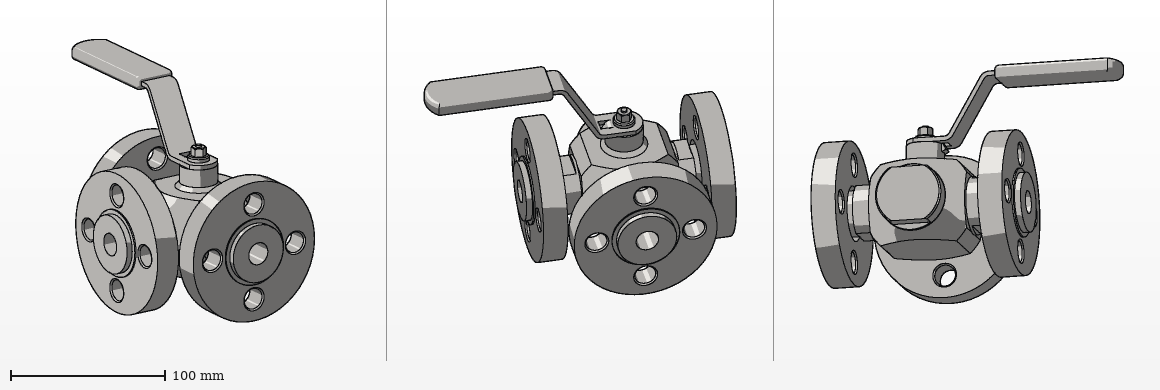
import cadquery as cq
import math


body_turned_radius = 37.3
body_half_width = 32.2
body_half_height = 27.2
body_half_depth = 32.2
body_end_radius = 22.2

bore_diameter = 15.0
hub_diameter = 38.0
hub_end = 44.0
wrench_flat_start = 34.0
hub_flat_offset = 16.02
neck_diameter = 30.0
flange_recess_diameter = 36.0
flange_recess_depth = 8.0
flange_diameter = 95.0
flange_start = 47.8
flange_thickness = 16.3
raised_face_diameter = 45.0
raised_face_height = 1.0
spigot_diameter = 39.0
port_length = 69.1
bolt_hole_diameter = 14.0
bolt_hole_chamfer = 1.0
bolt_circle_radius = 32.5
bolt_count = 4

cap_diameter = 44.0
cap_end = hub_end
cap_chamfer = 1.0
cap_flat_offset = 18.0

boss_diameter = 25.0
boss_base_diameter = 30.8
washer_diameter = 14.3
washer_height = 3.0
washer_chamfer = 0.8
nut_corner_diameter = 10.0
nut_top = 54.0
nut_chamfer = 0.8
stem_tip_diameter = 3.8
stem_tip_top = 55.2

lever_thickness = 3.0
lever_width = 22.0
lever_tip_radius = 12.3
lever_low_top = 45.1
lever_high_top = 86.6
lever_slope = 60.0
lever_low_bend_x = -17.7
lever_bend_radius = 3.8

slot_start = -16.3
slot_end = -8.0
slot_width = 8.0
tab_bend_radius = 4.8
tab_slope = 60.0
tab_straight_length = 5.2

grip_start = -132.4
grip_end = -49.5
grip_width = 28.0
grip_nose = 6.5
grip_bottom = 80.4
grip_top = 90.0
grip_rounding = 3.0

overlap = 2.0


def disc_y(diameter, start, end):
    """Cylinder along Y that reaches from y = -start to y = -end."""
    return cq.Workplane("XZ", origin=(0, -start, 0)).circle(diameter / 2).extrude(end - start)


def cut_flats(shape, offset, start, end):
    """Cut two wrench flats, above and below, on a round along -Y."""
    depth = flange_diameter
    for side in (1, -1):
        block = cq.Workplane("XY").box(depth, end - start, depth)
        block = block.translate((0, -(start + end) / 2, side * (offset + depth / 2)))
        shape = shape.cut(block)
    return shape


def make_body():
    cone_rise = body_turned_radius - body_end_radius
    body = disc_y(2 * body_turned_radius, -body_half_depth, body_half_depth)
    body = body.faces("<Y or >Y").chamfer(cone_rise)
    envelope = cq.Workplane("XY").box(2 * body_half_width, 2 * body_half_depth, 2 * body_half_height)
    return body.intersect(envelope)


def make_bolt_holes(flange_end):
    """Cutters for the bolt holes, flared at both faces of the flange."""
    radius = bolt_hole_diameter / 2
    flare_radius = radius + bolt_hole_chamfer
    profile = (
        cq.Workplane("XY")
        .moveTo(0, -flange_start)
        .lineTo(flare_radius, -flange_start)
        .lineTo(radius, -flange_start - bolt_hole_chamfer)
        .lineTo(radius, -flange_end + bolt_hole_chamfer)
        .lineTo(flare_radius, -flange_end)
        .lineTo(0, -flange_end)
        .close()
        .revolve(360, (0, 0, 0), (0, 1, 0))
        .translate((bolt_circle_radius, 0, 0))
    )
    holes = profile
    for index in range(1, bolt_count):
        holes = holes.union(profile.rotate((0, 0, 0), (0, 1, 0), index * 360 / bolt_count))
    return holes


def make_port():
    """Hub, neck, flange and spigot of one port, pointing along -Y."""
    flange_end = flange_start + flange_thickness
    hub = disc_y(hub_diameter, body_half_depth - overlap, hub_end)
    port = cut_flats(hub, hub_flat_offset, wrench_flat_start, hub_end)

    flange = disc_y(flange_diameter, flange_start, flange_end)
    flange = flange.cut(disc_y(flange_recess_diameter, flange_start, flange_start + flange_recess_depth))
    flange = flange.cut(make_bolt_holes(flange_end))
    port = port.union(flange)
    port = port.union(disc_y(neck_diameter, hub_end - overlap, flange_end))
    port = port.union(disc_y(raised_face_diameter, flange_end - overlap, flange_end + raised_face_height))
    return port.union(disc_y(spigot_diameter, flange_end - overlap, port_length))


def make_cap():
    cap = disc_y(cap_diameter, body_half_depth - overlap, cap_end).faces("<Y").chamfer(cap_chamfer)
    cap = cut_flats(cap, cap_flat_offset, wrench_flat_start, cap_end)
    return cap.rotate((0, 0, 0), (0, 0, 1), 180)


def make_boss():
    """Stem boss with a conical foot, up to the underside of the lever."""
    radius = boss_diameter / 2
    base_radius = boss_base_diameter / 2
    foot_top = body_half_height + base_radius - radius
    return (
        cq.Workplane("XZ")
        .moveTo(0, body_half_height - overlap)
        .lineTo(base_radius, body_half_height - overlap)
        .lineTo(base_radius, body_half_height)
        .lineTo(radius, foot_top)
        .lineTo(radius, lever_low_top - lever_thickness)
        .lineTo(0, lever_low_top - lever_thickness)
        .close()
        .revolve(360, (0, 0, 0), (0, 1, 0))
    )


def make_nut():
    washer_top = lever_low_top + washer_height
    washer = cq.Workplane("XY", origin=(0, 0, lever_low_top)).circle(washer_diameter / 2)
    washer = washer.extrude(washer_height).faces(">Z").chamfer(washer_chamfer)
    nut = cq.Workplane("XY", origin=(0, 0, washer_top)).polygon(6, nut_corner_diameter)
    nut = nut.extrude(nut_top - washer_top)
    crown = cq.Workplane("XY", origin=(0, 0, washer_top)).circle(nut_corner_diameter / 2)
    crown = crown.extrude(nut_top - washer_top).faces(">Z").chamfer(nut_chamfer)
    tip = cq.Workplane("XY", origin=(0, 0, washer_top)).circle(stem_tip_diameter / 2)
    tip = tip.extrude(stem_tip_top - washer_top)
    return washer.union(nut.intersect(crown)).union(tip)


def make_lever():
    slope = math.radians(lever_slope)
    high_bend_x = lever_low_bend_x - (lever_high_top - lever_low_top) / math.tan(slope)
    corner_shift = lever_thickness * math.tan(slope / 2)
    high_end_x = grip_end - overlap
    lever = (
        cq.Workplane("XZ", origin=(0, lever_width / 2, 0))
        .moveTo(lever_tip_radius, lever_low_top)
        .lineTo(lever_low_bend_x, lever_low_top)
        .lineTo(high_bend_x, lever_high_top)
        .lineTo(high_end_x, lever_high_top)
        .lineTo(high_end_x, lever_high_top - lever_thickness)
        .lineTo(high_bend_x - corner_shift, lever_high_top - lever_thickness)
        .lineTo(lever_low_bend_x - corner_shift, lever_low_top - lever_thickness)
        .lineTo(lever_tip_radius, lever_low_top - lever_thickness)
        .close()
        .extrude(lever_width)
    )

    def bend_edges(x, z):
        reach = lever_thickness / 4
        low = (x - reach, -lever_width, z - reach)
        high = (x + reach, lever_width, z + reach)
        return cq.selectors.BoxSelector(low, high)

    inner = lever_bend_radius
    outer = lever_bend_radius + lever_thickness
    low_z = lever_low_top - lever_thickness
    high_z = lever_high_top - lever_thickness
    lever = lever.edges(bend_edges(lever_low_bend_x, lever_low_top)).fillet(inner)
    lever = lever.edges(bend_edges(lever_low_bend_x - corner_shift, low_z)).fillet(outer)
    lever = lever.edges(bend_edges(high_bend_x - corner_shift, high_z)).fillet(inner)
    lever = lever.edges(bend_edges(high_bend_x, lever_high_top)).fillet(outer)

    tip_box = cq.Workplane("XY").box(
        2 * lever_tip_radius, lever_width, lever_high_top, centered=(False, True, False)
    )
    tip_round = cq.Workplane("XY").circle(lever_tip_radius).extrude(lever_high_top)
    return lever.cut(tip_box.cut(tip_round))


def cut_slot(lever):
    """Open the slot through the low part of the lever."""
    height = lever_high_top - lever_low_top
    slot = cq.Workplane("XY", origin=(slot_start, 0, lever_low_top))
    slot = slot.box(slot_end - slot_start, slot_width, height, centered=(False, True, True))
    return lever.cut(slot)


def make_stop_tab():
    """Tab that curves down from the +X edge of the slot and ends square to its slope."""
    turn = math.radians(tab_slope)
    outer = tab_bend_radius
    inner = tab_bend_radius - lever_thickness
    bend_z = lever_low_top - tab_bend_radius
    run = tab_straight_length * math.cos(turn)
    drop = tab_straight_length * math.sin(turn)

    def on_bend(radius, angle):
        return slot_end - radius * math.sin(angle), bend_z + radius * math.cos(angle)

    outer_x, outer_z = on_bend(outer, turn)
    inner_x, inner_z = on_bend(inner, turn)
    return (
        cq.Workplane("XZ", origin=(0, slot_width / 2, 0))
        .moveTo(*on_bend(outer, 0))
        .threePointArc(on_bend(outer, turn / 2), (outer_x, outer_z))
        .lineTo(outer_x - run, outer_z - drop)
        .lineTo(inner_x - run, inner_z - drop)
        .lineTo(inner_x, inner_z)
        .threePointArc(on_bend(inner, turn / 2), on_bend(inner, 0))
        .close()
        .extrude(slot_width)
    )


def make_grip():
    half_width = grip_width / 2
    shoulder_x = grip_start + grip_nose
    grip = (
        cq.Workplane("XY", origin=(0, 0, grip_bottom))
        .moveTo(grip_end, half_width)
        .lineTo(shoulder_x, half_width)
        .threePointArc((grip_start, 0), (shoulder_x, -half_width))
        .lineTo(grip_end, -half_width)
        .close()
        .extrude(grip_top - grip_bottom)
    )
    grip = grip.edges("|Z and >X").fillet(grip_rounding)
    return grip.faces("<Z or >Z").edges().fillet(grip_rounding)


def cut_bores(valve):
    """Through bore along X and a branch bore from the -Y port to the centre."""
    main_bore = cq.Workplane("YZ").circle(bore_diameter / 2).extrude(port_length, both=True)
    return valve.cut(main_bore).cut(disc_y(bore_diameter, 0, port_length))


valve = make_body()
for port_angle in (-90, 0, 90):
    valve = valve.union(make_port().rotate((0, 0, 0), (0, 0, 1), port_angle))
valve = valve.union(make_cap()).union(make_boss())
valve = cut_bores(valve)
valve = valve.union(cut_slot(make_lever())).union(make_stop_tab())
result = valve.union(make_nut()).union(make_grip())